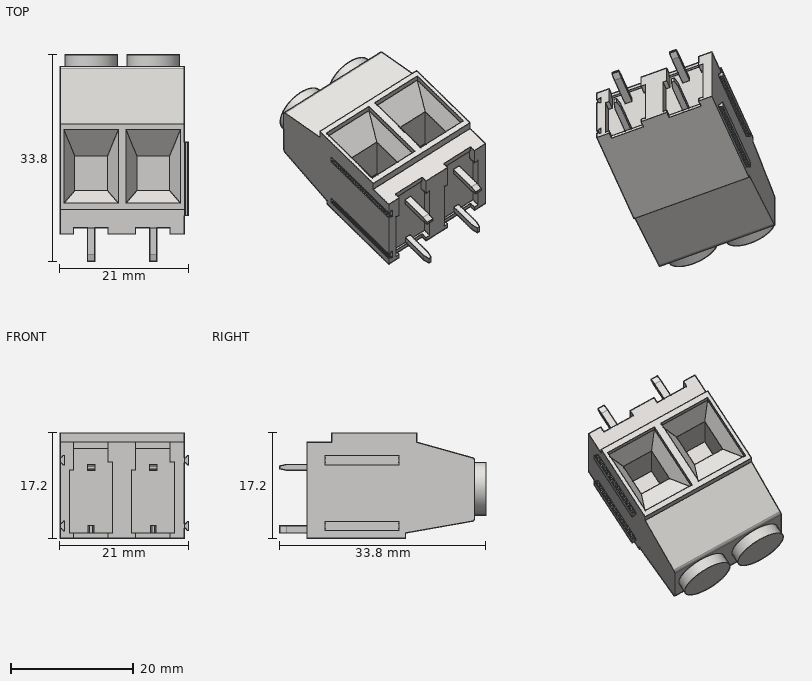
import cadquery as cq


poles = 2
body_width = 20.3
pitch = body_width / poles
body_length = 27.45
body_height = 17.25
shoulder_height = 15.72
entry_front = 4.05
entry_back = 18.0
foot_back = 16.15
foot_step = 0.85
rear_bottom = 2.85
rear_top = 13.08
rear_edge_radius = 0.5

screw_diameter = 8.65
screw_z = 8.08
total_length = 33.8
pin_reach = 4.45
screw_back = total_length - pin_reach

mouth_width = 8.9
mouth_front = 5.07
mouth_back = 17.07
rim_depth = 1.08
throat_width = 5.37
throat_front = 7.1
throat_back = 12.8
throat_top = 13.42
throat_bottom = 5.07

notch_depth = 1.0
notch_left = 2.2
notch_right = 7.8
pocket_depth = 1.35
pocket_left = 1.55
pocket_right = 8.6
pocket_bottom = 0.85
pocket_top = 14.7
left_step_z = 11.2
right_step_z = 12.5

pin_width = 1.2
pin_thickness = 0.98
pin_tip_thickness = 0.47
pin_taper_start = 3.35
upper_pin_z = 11.6
lower_pin_z = pocket_bottom + pin_width / 2

upper_joint_z = 12.78
lower_joint_z = 2.0
joint_back = 15.05
rail_front = 3.0
rail_reach = 0.7
rail_neck_width = 0.78
rail_head_width = 1.52
rail_neck_end = 0.2
rail_head_start = 0.5
groove_depth = 0.75
groove_head_width = 1.6
upper_groove = dict(mouth_width=1.18, mouth_depth=0.1, neck_width=0.75, neck_end=0.1, head_start=0.55)
lower_groove = dict(mouth_width=1.05, mouth_depth=0.07, neck_width=0.85, neck_end=0.25, head_start=0.57)


def box(x_range, y_range, z_range):
    """Box given by its lower and upper limits along each axis."""
    corner, far_corner = zip(x_range, y_range, z_range)
    size = [high - low for low, high in zip(corner, far_corner)]
    return cq.Workplane("XY").box(*size, centered=False).translate(corner)


def extrude_along_y(points, front, back):
    """Closed outline of (x, z) points extruded from front to back."""
    return cq.Workplane("XZ", origin=(0, front, 0)).polyline(points).close().extrude(front - back)


def make_housing():
    """Side profile extruded across the full width, with rounded rear edges."""
    profile = [
        (0, 0),
        (foot_back, 0),
        (foot_back, foot_step),
        (body_length, rear_bottom),
        (body_length, rear_top),
        (entry_back, shoulder_height),
        (entry_back, body_height),
        (entry_front, body_height),
        (entry_front, shoulder_height),
        (0, shoulder_height),
    ]
    housing = cq.Workplane("YZ").polyline(profile).close().extrude(body_width)
    return housing.faces(">Y").edges("|X").fillet(rear_edge_radius)


def make_screw(center_x):
    """Round screw head standing out of the rear face."""
    plane = cq.Workplane("XZ", origin=(center_x, body_length, screw_z))
    return plane.circle(screw_diameter / 2).extrude(body_length - screw_back)


def make_funnel(center_x):
    """Wire entry: straight rim, tapered funnel and straight throat."""
    mouth_x = (center_x - mouth_width / 2, center_x + mouth_width / 2)
    throat_x = (center_x - throat_width / 2, center_x + throat_width / 2)
    rim_bottom = body_height - rim_depth
    mouth_y = (mouth_front + mouth_back) / 2
    throat_y = (throat_front + throat_back) / 2
    rim = box(mouth_x, (mouth_front, mouth_back), (rim_bottom, body_height))
    funnel = (
        cq.Workplane("XY", origin=(center_x, mouth_y, rim_bottom))
        .rect(mouth_width, mouth_back - mouth_front)
        .workplane(offset=throat_top - rim_bottom)
        .center(0, throat_y - mouth_y)
        .rect(throat_width, throat_back - throat_front)
        .loft(ruled=True)
    )
    throat = box(throat_x, (throat_front, throat_back), (throat_bottom, throat_top))
    return rim.union(funnel).union(throat)


def make_front_recess(left):
    """Full-height shallow notch with a deeper stepped pocket behind it."""
    notch_x = (left + notch_left, left + notch_right)
    notch = box(notch_x, (0, notch_depth), (0, shoulder_height))
    outline = [
        (left + pocket_left, pocket_bottom),
        (left + pocket_right, pocket_bottom),
        (left + pocket_right, right_step_z),
        (left + notch_right, right_step_z),
        (left + notch_right, pocket_top),
        (left + notch_left, pocket_top),
        (left + notch_left, left_step_z),
        (left + pocket_left, left_step_z),
    ]
    return notch.union(extrude_along_y(outline, 0, pocket_depth))


def make_pin(center_x, center_z, upright):
    """Flat pin with a tapered tip; an upright pin has its wide side vertical."""
    half = pin_thickness / 2
    half_tip = pin_tip_thickness / 2
    outline = [
        (-half, pocket_depth),
        (-half, -pin_taper_start),
        (-half_tip, -pin_reach),
        (half_tip, -pin_reach),
        (half, -pin_taper_start),
        (half, pocket_depth),
    ]
    pin = cq.Workplane("XY").polyline(outline).close().extrude(pin_width / 2, both=True)
    if not upright:
        pin = pin.rotate((0, 0, 0), (0, 1, 0), 90)
    return pin.translate((center_x, 0, center_z))


def joint_outline(steps, x_start, center_z):
    """Outline symmetric about center_z from (depth, width) steps."""
    upper = [(x_start + depth, center_z + width / 2) for depth, width in steps]
    lower = [(x_start + depth, center_z - width / 2) for depth, width in reversed(steps)]
    return upper + lower


def make_rail(center_z):
    """Dovetail rail on the right side."""
    steps = [
        (0, rail_neck_width),
        (rail_neck_end, rail_neck_width),
        (rail_head_start, rail_head_width),
        (rail_reach, rail_head_width),
    ]
    return extrude_along_y(joint_outline(steps, body_width, center_z), rail_front, joint_back)


def make_groove(center_z, mouth_width, mouth_depth, neck_width, neck_end, head_start):
    """Dovetail groove in the left side, open at the front, with a bevelled mouth."""
    steps = [(0, mouth_width), (mouth_depth, neck_width)]
    if neck_end > mouth_depth:
        steps.append((neck_end, neck_width))
    steps += [(head_start, groove_head_width), (groove_depth, groove_head_width)]
    return extrude_along_y(joint_outline(steps, 0, center_z), 0, joint_back)


result = make_housing()
result = result.cut(make_groove(upper_joint_z, **upper_groove))
result = result.cut(make_groove(lower_joint_z, **lower_groove))
result = result.union(make_rail(upper_joint_z)).union(make_rail(lower_joint_z))

for pole in range(poles):
    pole_left = pole * pitch
    pole_center = pole_left + pitch / 2
    result = result.cut(make_front_recess(pole_left))
    result = result.cut(make_funnel(pole_center))
    result = result.union(make_screw(pole_center))
    result = result.union(make_pin(pole_center, upper_pin_z, upright=False))
    result = result.union(make_pin(pole_center, lower_pin_z, upright=True))